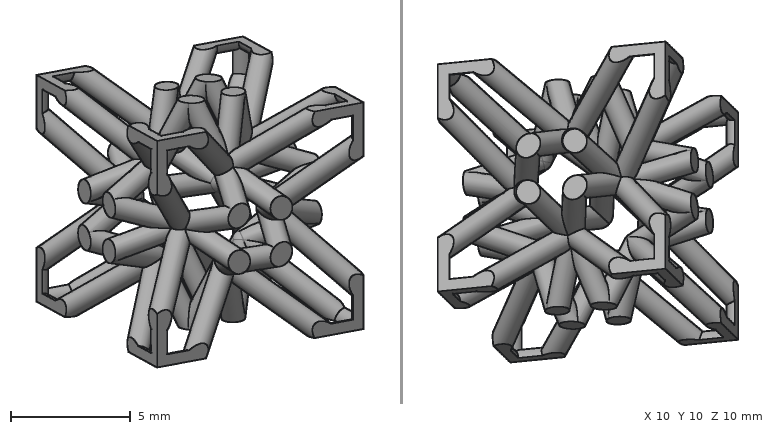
import cadquery as cq

cell_size = 10.0
strut_diameter = 1.0
inner_node_offset = 2.08
face_node_offset = 1.02
edge_node_offset = 3.27

half_cell = cell_size / 2
strut_radius = strut_diameter / 2

AXES = (0, 1, 2)
SIGNS = (-1, 1)


def place(axis, along, first, second):
    """Point with `along` on the given axis and the other two values on the next axes in cyclic order."""
    coordinates = [0.0, 0.0, 0.0]
    coordinates[axis] = along
    coordinates[(axis + 1) % 3] = first
    coordinates[(axis + 2) % 3] = second
    return cq.Vector(*coordinates)


def strut(start, end):
    """Round bar between two nodes."""
    direction = end - start
    return cq.Solid.makeCylinder(strut_radius, direction.Length, start, direction)


def node_ball(center):
    """Ball that rounds the joint where struts meet."""
    return cq.Workplane("XY").sphere(strut_radius).translate(center).val()


def inner_node_branch(axis, first_sign, second_sign):
    """Inner node in the mid-plane normal to `axis`, with all struts and joints that grow from it."""
    first_face = first_sign * half_cell
    second_face = second_sign * half_cell
    inner_node = place(axis, 0, first_sign * inner_node_offset, second_sign * inner_node_offset)
    parts = [node_ball(inner_node)]

    for side in SIGNS:
        face_along = side * face_node_offset
        first_face_node = place(axis, face_along, first_face, second_sign * face_node_offset)
        second_face_node = place(axis, face_along, first_sign * face_node_offset, second_face)
        parts.append(strut(inner_node, first_face_node))
        parts.append(strut(inner_node, second_face_node))
        parts.append(node_ball(first_face_node))

        edge_node = place(axis, side * edge_node_offset, first_face, second_face)
        corner = place(axis, side * half_cell, first_face, second_face)
        parts.append(strut(inner_node, edge_node))
        parts.append(node_ball(edge_node))
        parts.append(strut(edge_node, corner))
    return parts


lattice_parts = []
for axis in AXES:
    for first_sign in SIGNS:
        for second_sign in SIGNS:
            lattice_parts.extend(inner_node_branch(axis, first_sign, second_sign))

lattice = lattice_parts[0].fuse(*lattice_parts[1:])
cell = cq.Workplane("XY").box(cell_size, cell_size, cell_size)
result = cell.intersect(cq.Workplane(lattice))